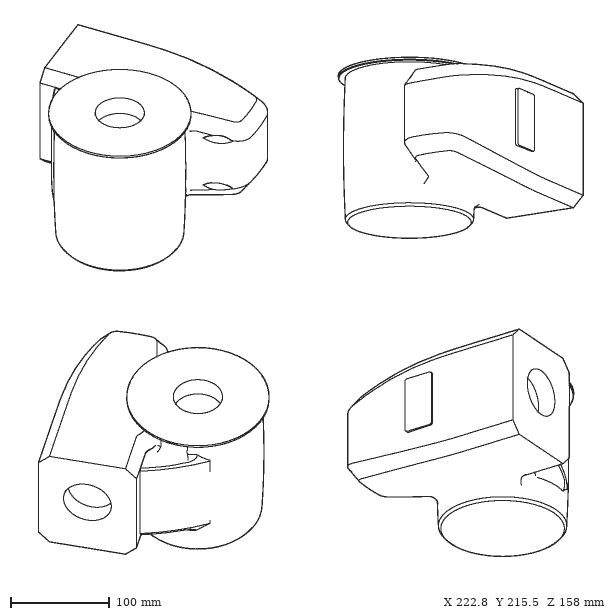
import cadquery as cq
import math

barrel_top = 68.0
barrel_bottom = -90.0
flange_radius = 72.5
flange_thickness = 3.0
flange_bevel = 0.8
flange_bottom = barrel_top - flange_thickness
barrel_end_radius = 65.4
barrel_mid_radius = 67.3
barrel_rim_z = -83.5
barrel_mid_z = (flange_bottom + barrel_rim_z) / 2
rim_bevel_width = 2.5
rim_bevel_height = 3.0

bore_radius = 25.0
bore_depth = 20.0
port_y = 90.0

mount_x = -108.0
arm_end_x = 114.79
arm_back_y = 141.3
arm_front_y = 38.6
arm_top = 55.8
arm_bottom = -64.4
arm_mid_z = (arm_top + arm_bottom) / 2
taper_start_x = -42.0
taper_drop = 17.5
taper_overrun = 1.0
arm_chamfer = 11.6
back_bend_x = -10.0
back_curve_end = (97.0, 126.6)
end_back_corner = (111.8, 122.7)
end_front_corner = (111.8, 58.0)
front_bend_x = 34.0
end_rounding = 20.0

blend_radius = 9.0
blend_arc_inset = blend_radius * (1 - math.sqrt(0.5))
blend_sink = 0.3

web_top = 43.0
web_bottom = -50.5
web_bevel_height = 12.0
web_bevel_width = 5.0
web_arm_x = -92.0
web_belly = (-79.6, 6.0)
web_barrel_end = (-61.2, -27.0)
web_root_x = -20.0
web_root_y = 60.0

fairing_center = (-52.0, 8.0)
fairing_radius = 18.5
fairing_root_depth = 1.0

pad_face_y = 143.0
pad_width = 33.0
pad_height = 60.0
pad_x = 7.0
pad_rounding = 3.0
pad_root_depth = 10.0

dimple_pitch = 60.4
dimple_half_length = 15.2
dimple_radius = 4.7
dimple_x = 86.0


def barrel_radius(z):
    """Radius of the bulged side at height z."""
    half_length = (flange_bottom - barrel_rim_z) / 2
    bulge = barrel_mid_radius - barrel_end_radius
    return barrel_mid_radius - bulge * ((z - barrel_mid_z) / half_length) ** 2


def make_barrel():
    floor_edge_z = barrel_rim_z - rim_bevel_height
    return (
        cq.Workplane("XZ")
        .moveTo(0, barrel_top)
        .lineTo(flange_radius, barrel_top)
        .lineTo(flange_radius, flange_bottom + flange_bevel)
        .lineTo(flange_radius - flange_bevel, flange_bottom)
        .lineTo(barrel_end_radius, flange_bottom)
        .threePointArc((barrel_mid_radius, barrel_mid_z), (barrel_end_radius, barrel_rim_z))
        .lineTo(barrel_end_radius - rim_bevel_width, floor_edge_z)
        .lineTo(0, barrel_bottom)
        .close()
        .revolve(360, (0, 0, 0), (0, 1, 0))
    )


def make_arm_plan():
    """The arm's outline seen along Z, extruded over its full height."""
    bar = (
        cq.Workplane("XY")
        .workplane(offset=arm_bottom)
        .moveTo(mount_x, arm_back_y)
        .lineTo(back_bend_x, arm_back_y)
        .tangentArcPoint(back_curve_end, relative=False)
        .lineTo(*end_back_corner)
        .threePointArc((arm_end_x, port_y), end_front_corner)
        .lineTo(front_bend_x, arm_front_y)
        .lineTo(mount_x, arm_front_y)
        .close()
        .extrude(arm_top - arm_bottom)
    )
    end_corner_x = end_back_corner[0]
    end_corners = cq.selectors.BoxSelector(
        (end_corner_x - 1, arm_front_y, arm_bottom), (arm_end_x, arm_back_y, arm_top)
    )
    return bar.edges("|Z").edges(end_corners).fillet(end_rounding)


def make_arm_taper():
    """Upper half of the arm's profile seen along Y, mirrored about its mid height."""
    taper_end_x = arm_end_x + taper_overrun
    upper_half = (
        cq.Workplane("XZ")
        .moveTo(mount_x, arm_mid_z)
        .lineTo(mount_x, arm_top)
        .lineTo(taper_start_x, arm_top)
        .tangentArcPoint((taper_end_x, arm_top - taper_drop), relative=False)
        .lineTo(taper_end_x, arm_mid_z)
        .close()
        .extrude(-2 * arm_back_y)
    )
    return upper_half.union(upper_half.mirror("XY", (0, 0, arm_mid_z)))


def make_arm():
    arm = make_arm_plan().intersect(make_arm_taper()).clean()
    return arm.edges("not(|Z or |Y)").chamfer(arm_chamfer)


def on_barrel_side(edge):
    """True for an edge lying on the barrel's bulged side, between its two rims."""
    points = [edge.positionAt(t) for t in (0.0, 0.3, 0.7, 1.0)]
    return all(
        abs(math.hypot(p.x, p.y) - barrel_radius(p.z)) < 0.2
        and arm_bottom - 1 < p.z < arm_top + 1
        for p in points
    )


def make_barrel_with_arm():
    body = make_barrel().union(make_arm())
    joint_edges = [edge for edge in body.edges().vals() if on_barrel_side(edge)]
    return body.newObject(joint_edges).fillet(blend_radius)


def make_web_plan():
    """The web's outline seen along Z, bevelled along its curved edges where the blends thin out."""
    bottom = web_bottom - blend_radius
    top = web_top + blend_radius
    return (
        cq.Workplane("XY")
        .workplane(offset=bottom)
        .moveTo(web_arm_x, arm_front_y)
        .threePointArc(web_belly, web_barrel_end)
        .lineTo(web_root_x, 0)
        .lineTo(web_root_x, web_root_y)
        .lineTo(web_arm_x, web_root_y)
        .close()
        .extrude(top - bottom)
        .edges("%CIRCLE")
        .chamfer(web_bevel_height, web_bevel_width)
    )


def make_web():
    """A flat slab that curves up and down into the barrel, cut to the web's outline."""
    reach = math.hypot(web_arm_x, web_root_y) + 1
    upper_end = web_top + blend_radius
    lower_end = web_bottom - blend_radius
    upper_radius = barrel_radius(upper_end) - blend_sink
    lower_radius = barrel_radius(lower_end) - blend_sink
    slab = (
        cq.Workplane("XZ")
        .moveTo(0, upper_end)
        .lineTo(upper_radius, upper_end)
        .threePointArc(
            (upper_radius + blend_arc_inset, web_top + blend_arc_inset),
            (upper_radius + blend_radius, web_top),
        )
        .lineTo(reach, web_top)
        .lineTo(reach, web_bottom)
        .lineTo(lower_radius + blend_radius, web_bottom)
        .threePointArc(
            (lower_radius + blend_arc_inset, web_bottom - blend_arc_inset),
            (lower_radius, lower_end),
        )
        .lineTo(0, lower_end)
        .close()
        .revolve(360, (0, 0, 0), (0, 1, 0))
    )
    return slab.intersect(make_web_plan())


def make_fairing():
    """A round post flaring out onto the web, kept within the web's outline below its top."""
    flare_radius = fairing_radius + blend_radius
    flared_post = (
        cq.Workplane("XZ")
        .moveTo(0, web_bottom)
        .lineTo(flare_radius, web_bottom)
        .lineTo(flare_radius, web_top)
        .threePointArc(
            (fairing_radius + blend_arc_inset, web_top + blend_arc_inset),
            (fairing_radius, web_top + blend_radius),
        )
        .lineTo(fairing_radius, flange_bottom)
        .lineTo(0, flange_bottom)
        .close()
        .revolve(360, (0, 0, 0), (0, 1, 0))
        .translate((*fairing_center, 0))
    )
    core = (
        cq.Workplane("XY")
        .workplane(offset=web_top - fairing_root_depth)
        .center(*fairing_center)
        .circle(fairing_radius)
        .extrude(flange_bottom - web_top + fairing_root_depth)
    )
    return flared_post.intersect(make_web_plan().union(core))


def make_pad():
    return (
        cq.Workplane("XY")
        .box(pad_width, pad_root_depth, pad_height)
        .edges("|Y")
        .fillet(pad_rounding)
        .translate((pad_x, pad_face_y - pad_root_depth / 2, 0))
    )


def make_dimple(z):
    """A spindle lying along the arm's sloping front face, half sunk into it."""
    slope = (end_front_corner[1] - arm_front_y) / (end_front_corner[0] - front_bend_x)
    face_y = arm_front_y + slope * (dimple_x - front_bend_x)
    spindle = (
        cq.Workplane("XY")
        .moveTo(-dimple_half_length, 0)
        .threePointArc((0, dimple_radius), (dimple_half_length, 0))
        .close()
        .revolve(360, (0, 0, 0), (1, 0, 0))
    )
    spindle = spindle.rotate((0, 0, 0), (0, 0, 1), math.degrees(math.atan(slope)))
    return spindle.translate((dimple_x, face_y, z))


def make_flange_bore():
    return (
        cq.Workplane("XY")
        .workplane(offset=barrel_top - bore_depth)
        .circle(bore_radius)
        .extrude(bore_depth)
    )


def make_mount_bore():
    return (
        cq.Workplane("YZ")
        .workplane(offset=mount_x)
        .center(port_y, 0)
        .circle(bore_radius)
        .extrude(bore_depth)
    )


result = make_barrel_with_arm()
result = result.union(make_web()).union(make_fairing()).union(make_pad())
result = result.cut(make_flange_bore()).cut(make_mount_bore())
for side in (-1, 1):
    result = result.cut(make_dimple(arm_mid_z + side * dimple_pitch / 2))